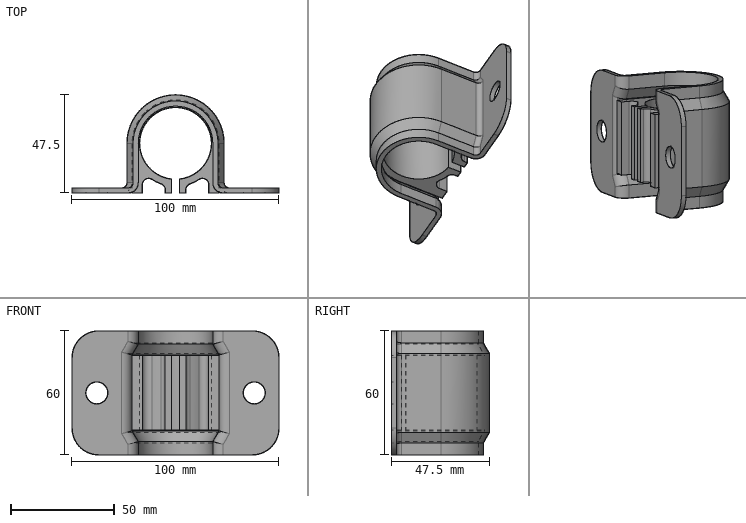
import cadquery as cq
import math

length = 100.0
height = 60.0
sheet = 2.5
axis_y = 24.0
outer_radius = 23.5
neck_depth = 3.0
neck_height = 5.8
taper_angle = 30.0
bend_inside = 2.5
bend_outside = bend_inside + sheet
foot_corner_radius = 13.0
bolt_spacing = 76.0
bolt_diameter = 10.5

insert_radius = outer_radius - sheet
insert_height = 36.0
bore_radius = 17.3
gap_width = 3.7
jaw_thickness = 3.5
pocket_inner_x = 5.0
pocket_outer_x = 16.0
pocket_corner_radius = 3.0

taper_height = neck_depth / math.tan(math.radians(taper_angle))
tolerance = 0.01
taper_shift = sheet * math.tan(math.radians(taper_angle / 2))


def arch(radius, z_bottom, z_height):
    """Half-round arch with straight legs down to the mounting plane."""
    return (
        cq.Workplane("XY", origin=(0, 0, z_bottom))
        .moveTo(-radius, 0)
        .lineTo(-radius, axis_y)
        .threePointArc((0, axis_y + radius), (radius, axis_y))
        .lineTo(radius, 0)
        .close()
        .extrude(z_height)
    )


def necked_arch(radius, neck):
    """Arch whose two ends taper in to a smaller radius."""
    neck_radius = radius - neck_depth
    half = height / 2
    shoulder = half - neck - taper_height
    profile = [
        (0, -half),
        (neck_radius, -half),
        (neck_radius, neck - half),
        (radius, -shoulder),
        (radius, shoulder),
        (neck_radius, half - neck),
        (neck_radius, half),
        (0, half),
    ]
    crown = (
        cq.Workplane("XZ").polyline(profile).close()
        .revolve(360, (0, 0, 0), (0, 1, 0))
        .translate((0, axis_y, 0))
    )
    mirrored = [(-x, z) for x, z in reversed(profile[1:-1])]
    legs = cq.Workplane("XZ").polyline(profile[1:-1] + mirrored).close().extrude(-axis_y)
    return crown.union(legs)


def edges_along_wall(body, y, x_limit):
    """Edges in the plane at height y where the wall meets the foot."""
    chosen = []
    for edge in body.edges().vals():
        box = edge.BoundingBox()
        in_plane = abs(box.ymin - y) < tolerance and abs(box.ymax - y) < tolerance
        near_wall = max(abs(box.xmin), abs(box.xmax)) < x_limit + tolerance
        if in_plane and near_wall and box.zlen > tolerance:
            chosen.append(edge)
    return chosen


def make_saddle():
    foot = (
        cq.Workplane("XY").box(length, sheet, height)
        .translate((0, sheet / 2, 0))
        .edges("|Y").fillet(foot_corner_radius)
    )
    body = foot.union(necked_arch(outer_radius, neck_height))
    body = body.cut(necked_arch(insert_radius, neck_height + taper_shift))
    body = body.newObject(edges_along_wall(body, sheet, outer_radius)).fillet(bend_inside)
    body = body.newObject(edges_along_wall(body, 0, insert_radius)).fillet(bend_outside)
    bolt_holes = (
        cq.Workplane("XZ")
        .pushPoints([(-bolt_spacing / 2, 0), (bolt_spacing / 2, 0)])
        .circle(bolt_diameter / 2)
        .extrude(-sheet)
    )
    return body.cut(bolt_holes)


def tube_cylinder(radius):
    return cq.Workplane("XY").center(0, axis_y).circle(radius).extrude(insert_height / 2, both=True)


def make_pocket():
    """Relief pocket on the +X side, roofed by an arc concentric with the bore."""
    width = pocket_outer_x - pocket_inner_x
    block = (
        cq.Workplane("XY")
        .box(width, axis_y, insert_height)
        .translate(((pocket_inner_x + pocket_outer_x) / 2, axis_y / 2, 0))
    )
    pocket = block.cut(tube_cylinder(bore_radius + jaw_thickness))
    return pocket.edges("|Z and (not <Y)").fillet(pocket_corner_radius)


def make_insert():
    body = arch(insert_radius, -insert_height / 2, insert_height).cut(tube_cylinder(bore_radius))
    gap = cq.Workplane("XY").box(gap_width, axis_y, insert_height).translate((0, axis_y / 2, 0))
    pocket = make_pocket()
    return body.cut(gap).cut(pocket).cut(pocket.mirror("YZ"))


result = make_saddle().union(make_insert())